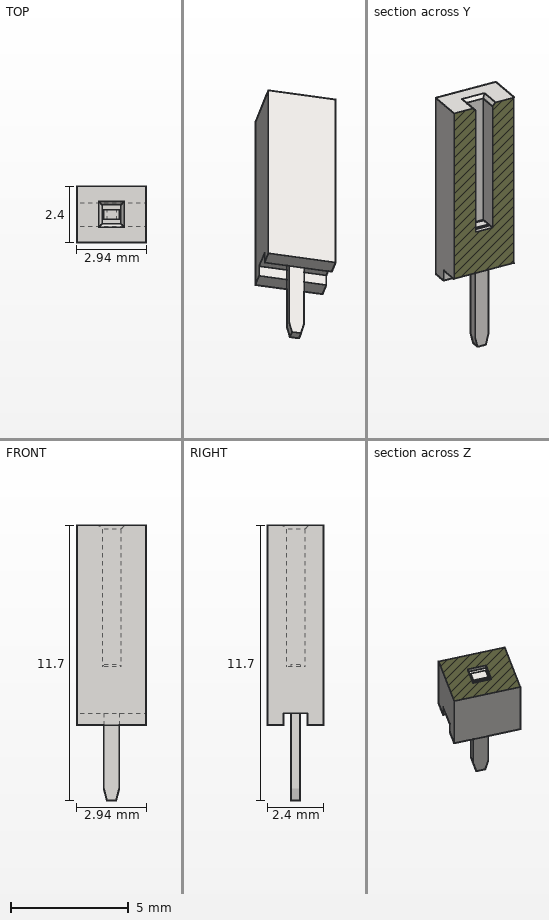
import cadquery as cq

body_x = 2.94
body_y = 2.4
body_height = 8.5

channel_width = 1.0
channel_depth = 0.5

socket_side = 0.8
socket_depth = 6.0
mouth_side = 1.1
mouth_depth = (mouth_side - socket_side) / 2

pin_width = 0.66
pin_thickness = 0.4
pin_length = 3.2
tip_width = 0.4
tip_length = 0.5

wedge_height = 0.08

socket_floor = body_height - socket_depth


def make_housing():
    """Rectangular block with the channel cut through its underside."""
    body = cq.Workplane("XY").box(body_x, body_y, body_height, centered=(True, True, False))
    channel = cq.Workplane("XY").box(body_x, channel_width, channel_depth, centered=(True, True, False))
    return body.cut(channel)


def make_socket():
    """Square bore and the tapered mouth above it, as the volume to remove."""
    bore = (
        cq.Workplane("XY")
        .workplane(offset=socket_floor)
        .rect(socket_side, socket_side)
        .extrude(socket_depth)
    )
    mouth = (
        cq.Workplane("XY")
        .workplane(offset=body_height)
        .rect(mouth_side, mouth_side)
        .workplane(offset=-mouth_depth)
        .rect(socket_side, socket_side)
        .loft()
    )
    return bore.union(mouth)


def make_contact():
    """Pin and wedge as one flat outline in XZ, mirrored about the Z axis."""
    right_side = [
        (tip_width / 2, -pin_length),
        (pin_width / 2, tip_length - pin_length),
        (pin_width / 2, socket_floor),
        (socket_side / 2, socket_floor),
        (pin_width / 2, socket_floor + wedge_height),
    ]
    left_side = [(-x, z) for x, z in reversed(right_side)]
    outline = cq.Workplane("XZ").polyline(right_side + left_side).close()
    return outline.extrude(pin_thickness / 2, both=True)


result = make_housing().cut(make_socket()).union(make_contact())